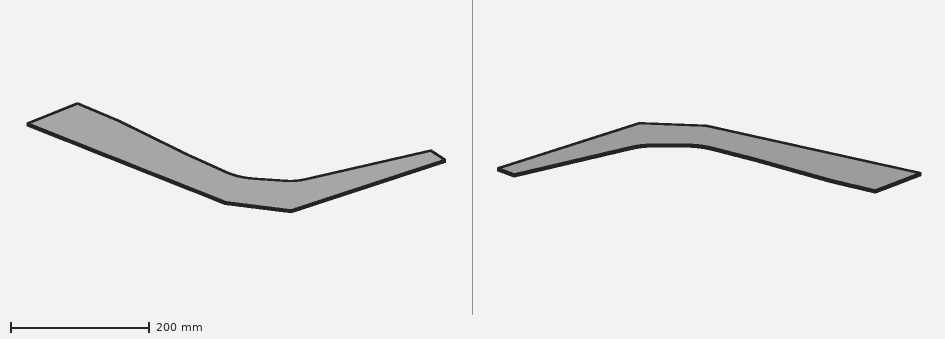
import cadquery as cq

LENGTH_X = 446.23
LENGTH_Y = 417.4
THICKNESS = 3.17

HEEL_LOWER = (335.5, 101.0)
HEEL_UPPER = (410.5, 162.5)

LOWER_ARM_START = (0.0, 0.0)
LOWER_ARM_TOP = (4.3, 88.8)
UPPER_ARM_TIP = (LENGTH_X, LENGTH_Y)
UPPER_ARM_INNER_TIP = (414.5, 415.9)

SHALLOW_BEND_NEAR_END = (75.0, 108.0)
SHALLOW_BEND_MIDDLE = (204.0, 132.6)

ELBOW_UPPER = (356.3, 213.5)
ELBOW_LOWER = (296.9, 154.2)
ELBOW_UPPER_RADIUS = 60.0
ELBOW_LOWER_RADIUS = 80.0


def plate_blank():
    """Plate with sharp corners, extruded upward from Z = 0."""
    outline = [
        LOWER_ARM_START,
        HEEL_LOWER,
        HEEL_UPPER,
        UPPER_ARM_TIP,
        UPPER_ARM_INNER_TIP,
        ELBOW_UPPER,
        ELBOW_LOWER,
        SHALLOW_BEND_MIDDLE,
        SHALLOW_BEND_NEAR_END,
        LOWER_ARM_TOP,
    ]
    return cq.Workplane("XY").polyline(outline).close().extrude(THICKNESS)


def round_corner(plate, corner, radius):
    """Round the upright edge standing at the given outline corner."""
    corner_edge = cq.selectors.NearestToPointSelector((*corner, THICKNESS / 2))
    return plate.edges("|Z").edges(corner_edge).fillet(radius)


result = plate_blank()
for elbow, elbow_radius in (
    (ELBOW_UPPER, ELBOW_UPPER_RADIUS),
    (ELBOW_LOWER, ELBOW_LOWER_RADIUS),
):
    result = round_corner(result, elbow, elbow_radius)